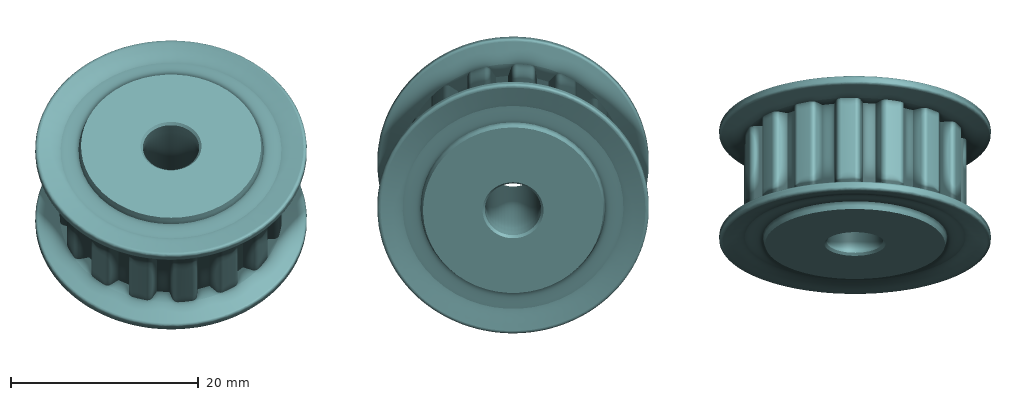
import cadquery as cq
import math

tooth_count = 15
belt_pitch = 5.08
pitch_line_offset = 0.254
first_groove_angle = 8.0

groove_depth = 1.4
groove_floor_width = 1.32
groove_included_angle = 50.0
tooth_tip_radius = 0.61

overall_height = 13.65
belt_width = 10.16
flange_thickness = 0.97

flange_radius = 28.96 / 2
flange_cone_angle = 13.0
flange_bend_radius = 11.88
flange_rim_fillet = 0.3

hub_top_radius = 9.6
hub_base_radius = 9.86
bore_diameter = 6.0
bore_chamfer = 0.25

tooth_radius = tooth_count * belt_pitch / (2 * math.pi) - pitch_line_offset
root_radius = tooth_radius - groove_depth
half_height = overall_height / 2
half_belt_width = belt_width / 2
flange_flat_top = half_belt_width + flange_thickness
cone_slope = math.tan(math.radians(flange_cone_angle))
bend_offset = flange_thickness * math.tan(math.radians(flange_cone_angle / 2))
outer_bend_radius = flange_bend_radius - bend_offset


def groove_cutter():
    """Trapezoidal tooth space on the +X side, open past the tooth tips."""
    inner_half = groove_floor_width / 2
    opening_radius = tooth_radius + groove_depth
    flank_slope = math.tan(math.radians(groove_included_angle / 2))
    outer_half = inner_half + (opening_radius - root_radius) * flank_slope
    return (
        cq.Workplane("XY")
        .workplane(offset=-half_belt_width)
        .polyline([
            (root_radius, -inner_half),
            (opening_radius, -outer_half),
            (opening_radius, outer_half),
            (root_radius, inner_half),
        ])
        .close()
        .extrude(belt_width)
    )


def is_tooth_tip_edge(edge):
    """True for an axial edge where a tooth land meets a groove flank."""
    center = edge.Center()
    return math.hypot(center.x, center.y) > (tooth_radius + root_radius) / 2


def toothed_body():
    """Toothed cylinder between the flanges, with rounded tooth tips."""
    body = cq.Workplane("XY").circle(tooth_radius).extrude(half_belt_width, both=True)
    cutter = groove_cutter()
    for i in range(tooth_count):
        angle = first_groove_angle + i * 360 / tooth_count
        body = body.cut(cutter.rotate((0, 0, 0), (0, 0, 1), angle))
    tip_edges = [e for e in body.edges("|Z").vals() if is_tooth_tip_edge(e)]
    return body.newObject(tip_edges).fillet(tooth_tip_radius)


def flanged_end():
    """Upper dished flange with the tapered hub end standing above it."""
    rim_bottom = half_belt_width + (flange_radius - flange_bend_radius) * cone_slope
    rim_top = flange_flat_top + (flange_radius - outer_bend_radius) * cone_slope
    end = (
        cq.Workplane("XZ")
        .moveTo(0, half_belt_width)
        .lineTo(flange_bend_radius, half_belt_width)
        .lineTo(flange_radius, rim_bottom)
        .lineTo(flange_radius, rim_top)
        .lineTo(outer_bend_radius, flange_flat_top)
        .lineTo(hub_base_radius, flange_flat_top)
        .lineTo(hub_top_radius, half_height)
        .lineTo(0, half_height)
        .close()
        .revolve(360, (0, 0, 0), (0, 1, 0))
    )
    rim_edges = [
        e for e in end.edges("%CIRCLE").vals()
        if math.isclose(e.radius(), flange_radius)
    ]
    return end.newObject(rim_edges).fillet(flange_rim_fillet)


def add_bore(body):
    """Cut the through bore and chamfer both of its mouths."""
    bore_radius = bore_diameter / 2
    mouth_radius = bore_radius + bore_chamfer
    cutter = (
        cq.Workplane("XZ")
        .moveTo(0, -half_height)
        .lineTo(mouth_radius, -half_height)
        .lineTo(bore_radius, -half_height + bore_chamfer)
        .lineTo(bore_radius, half_height - bore_chamfer)
        .lineTo(mouth_radius, half_height)
        .lineTo(0, half_height)
        .close()
        .revolve(360, (0, 0, 0), (0, 1, 0))
    )
    return body.cut(cutter)


upper_end = flanged_end()
lower_end = upper_end.mirror("XY")
result = add_bore(toothed_body().union(upper_end).union(lower_end))